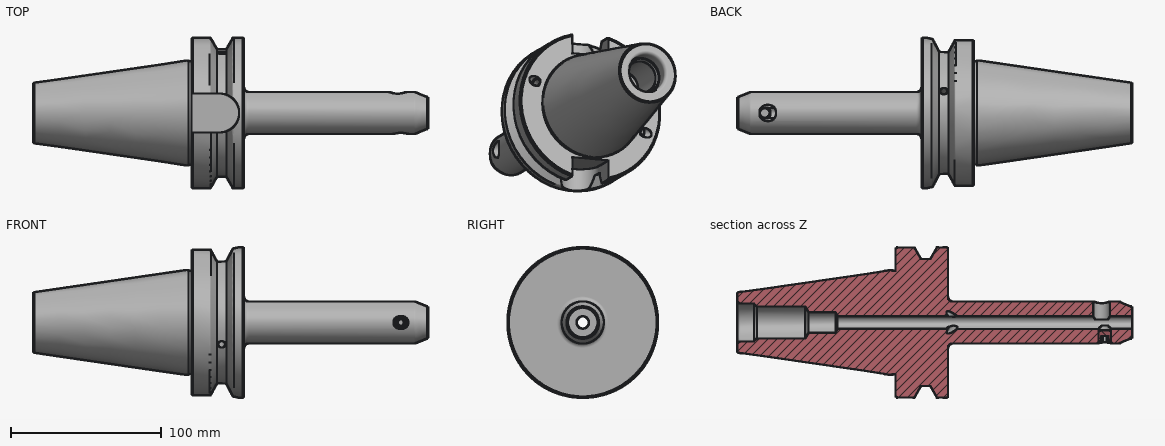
import cadquery as cq
import math


taper_length = 101.8
back_x = -taper_length
gauge_radius = 69.85 / 2
taper_slope = 7 / 24 / 2
taper_back_radius = gauge_radius - taper_slope * taper_length
back_chamfer = 0.7
taper_land_end_x = 1.0
neck_radius = gauge_radius - 0.6

flange_radius = 50.0
flange_back_x = 3.0
flange_front_x = 38.0
flange_chamfer = 1.0

groove_center_x = 23.1
groove_floor_radius = 42.4
groove_floor_half_width = 3.05
groove_wall_angle = 30.0
groove_edge_round = 1.0
groove_depth = flange_radius - groove_floor_radius
groove_top_half_width = groove_floor_half_width + groove_depth * math.tan(math.radians(groove_wall_angle))

slot_half_width = 25.7 / 2
slot_floor_z = 35.4
slot_end_x = 34.7

nose_radius = 14.0
nose_end_x = 160.0
nose_root_fillet = 3.0
nose_cone_start_x = 151.2
nose_cone_end_x = 159.0
nose_cone_end_radius = 10.8
nose_cone_round = 2.0
nose_tip_radius = 9.8

locating_radius = 12.5
mouth_round = 2.3
locating_depth = 11.0
thread_radius = 12.0
thread_core_radius = 10.6
thread_lead_length = 2.0
thread_depth = 45.0
pilot_radius = 6.7
pilot_depth = 65.0
coolant_radius = 4.0
drill_cone_angle = 60.0

channel_start_radius = 41.8
channel_end_radius = coolant_radius / 2
channel_start_angle = 20.0
channel_slope_angle = 45.0
channel_radius = 2.5
channel_thread_radius = 3.0
channel_thread_depth = 2.5
channel_entry_margin = 5.0

cross_drill_radius = 2.3
cross_drill_end_radius = channel_start_radius - (groove_center_x - flange_back_x) * math.tan(
    math.radians(channel_slope_angle)
)

screw_x = 141.8
screw_radius = 4.0
screw_outer_y = -13.0
screw_inner_y = -5.0
screw_socket_width = 4.0
screw_socket_depth = 4.0
screw_end_chamfer = 0.8
screw_hole_floor_y = -2.0
screw_hole_countersink_radius = 5.0

port_x = 139.7
port_radius = 5.5
port_floor_y = 2.0


def round_corner(outline, before, corner, after, radius):
    """Continue the outline with a tangent arc across a corner between two straight stretches."""
    before, corner, after = cq.Vector(*before), cq.Vector(*corner), cq.Vector(*after)
    toward_before = (before - corner).normalized()
    toward_after = (after - corner).normalized()
    half_angle = toward_before.getAngle(toward_after) / 2
    setback = radius / math.tan(half_angle)
    bisector = (toward_before + toward_after).normalized()
    arc_start = corner + toward_before * setback
    arc_middle = corner + bisector * (radius / math.sin(half_angle) - radius)
    arc_end = corner + toward_after * setback
    return outline.lineTo(arc_start.x, arc_start.y).threePointArc(
        (arc_middle.x, arc_middle.y), (arc_end.x, arc_end.y)
    )


def revolve_about_x(outline):
    return outline.close().revolve(360, (0, 0, 0), (1, 0, 0))


def make_outer_form():
    rim_radius = flange_radius - flange_chamfer
    groove_back_edge = (groove_center_x - groove_top_half_width, flange_radius)
    groove_floor_back = (groove_center_x - groove_floor_half_width, groove_floor_radius)
    groove_floor_front = (groove_center_x + groove_floor_half_width, groove_floor_radius)
    groove_front_edge = (groove_center_x + groove_top_half_width, flange_radius)
    rim_back = (flange_back_x + flange_chamfer, flange_radius)
    rim_front = (flange_front_x - flange_chamfer, flange_radius)
    rim_face = (flange_front_x, rim_radius)
    nose_root = (flange_front_x, nose_radius)
    nose_cone_start = (nose_cone_start_x, nose_radius)
    nose_cone_end = (nose_cone_end_x, nose_cone_end_radius)

    outline = (
        cq.Workplane("XZ")
        .moveTo(back_x, 0)
        .lineTo(back_x, taper_back_radius - back_chamfer)
        .lineTo(back_x + back_chamfer, taper_back_radius + taper_slope * back_chamfer)
        .lineTo(0, gauge_radius)
        .lineTo(taper_land_end_x, gauge_radius)
        .lineTo(taper_land_end_x, neck_radius)
        .lineTo(flange_back_x, neck_radius)
        .lineTo(flange_back_x, rim_radius)
        .lineTo(*rim_back)
    )
    outline = round_corner(outline, rim_back, groove_back_edge, groove_floor_back, groove_edge_round)
    outline = outline.lineTo(*groove_floor_back).lineTo(*groove_floor_front)
    outline = round_corner(outline, groove_floor_front, groove_front_edge, rim_front, groove_edge_round)
    outline = outline.lineTo(*rim_front).lineTo(*rim_face)
    outline = round_corner(outline, rim_face, nose_root, nose_cone_start, nose_root_fillet)
    outline = round_corner(outline, nose_root, nose_cone_start, nose_cone_end, nose_cone_round)
    outline = outline.lineTo(*nose_cone_end).lineTo(nose_end_x, nose_tip_radius).lineTo(nose_end_x, 0)
    return revolve_about_x(outline)


def make_axial_bore():
    locating_end = (back_x + locating_depth, locating_radius)
    thread_end_x = back_x + thread_depth
    pilot_end_x = back_x + pilot_depth
    drill_slope = 1 / math.tan(math.radians(drill_cone_angle))

    outline = (
        cq.Workplane("XZ")
        .moveTo(back_x, 0)
        .lineTo(back_x, locating_radius + mouth_round)
        .threePointArc(
            (
                back_x + mouth_round * (1 - math.sqrt(0.5)),
                locating_radius + mouth_round * (1 - math.sqrt(0.5)),
            ),
            (back_x + mouth_round, locating_radius),
        )
        .lineTo(*locating_end)
        .lineTo(locating_end[0], thread_radius)
        .lineTo(locating_end[0] + thread_lead_length, thread_core_radius)
        .lineTo(thread_end_x, thread_core_radius)
        .lineTo(thread_end_x + (thread_core_radius - pilot_radius) * drill_slope, pilot_radius)
        .lineTo(pilot_end_x, pilot_radius)
        .lineTo(pilot_end_x + (pilot_radius - coolant_radius) * drill_slope, coolant_radius)
        .lineTo(nose_end_x, coolant_radius)
        .lineTo(nose_end_x, 0)
    )
    return revolve_about_x(outline)


def make_key_slots():
    round_center_x = slot_end_x - slot_half_width
    slot = (
        cq.Workplane("XY", origin=(0, 0, slot_floor_z))
        .moveTo(0, -slot_half_width)
        .lineTo(round_center_x, -slot_half_width)
        .threePointArc((slot_end_x, 0), (round_center_x, slot_half_width))
        .lineTo(0, slot_half_width)
        .close()
        .extrude(flange_radius - slot_floor_z)
    )
    return slot.union(slot.mirror("XY"))


def make_coolant_drillings():
    """One sloping channel and its cross drilling on the +Y side, repeated opposite."""
    slope = math.radians(channel_slope_angle)
    direction = cq.Vector(math.cos(slope), -math.sin(slope), 0)
    entry = cq.Vector(flange_back_x, channel_start_radius, 0)
    start = entry - direction * channel_entry_margin
    channel_length = channel_entry_margin + (channel_start_radius - channel_end_radius) / math.sin(slope)
    channel = cq.Solid.makeCylinder(channel_radius, channel_length, start, direction)
    threaded_entry = cq.Solid.makeCylinder(
        channel_thread_radius, channel_entry_margin + channel_thread_depth, start, direction
    )
    cross_drilling = cq.Solid.makeCylinder(
        cross_drill_radius,
        flange_radius - cross_drill_end_radius,
        cq.Vector(groove_center_x, cross_drill_end_radius, 0),
        cq.Vector(0, 1, 0),
    )
    drilling = cq.Workplane(channel).union(cq.Workplane(threaded_entry)).union(cq.Workplane(cross_drilling))
    drilling = drilling.rotate((0, 0, 0), (1, 0, 0), channel_start_angle)
    return drilling.union(drilling.rotate((0, 0, 0), (1, 0, 0), 180))


def make_screw_hole():
    """Countersunk radial hole from the -Y side of the nose into the coolant bore."""
    countersink = cq.Solid.makeCone(
        screw_hole_countersink_radius,
        screw_radius,
        screw_hole_countersink_radius - screw_radius,
        cq.Vector(screw_x, -nose_radius, 0),
        cq.Vector(0, 1, 0),
    )
    return (
        cq.Workplane("XZ", origin=(screw_x, screw_hole_floor_y, 0))
        .circle(screw_radius)
        .extrude(nose_radius + screw_hole_floor_y)
        .union(cq.Workplane(countersink))
    )


def make_side_port():
    """Radial hole from the +Y side of the nose into the coolant bore."""
    return (
        cq.Workplane("XZ", origin=(port_x, port_floor_y, 0))
        .circle(port_radius)
        .extrude(port_floor_y - nose_radius)
    )


def make_screw():
    across_corners = screw_socket_width / math.cos(math.radians(30))
    return (
        cq.Workplane("XZ", origin=(screw_x, screw_inner_y, 0))
        .circle(screw_radius)
        .extrude(screw_inner_y - screw_outer_y)
        .faces("<Y or >Y")
        .chamfer(screw_end_chamfer)
        .faces("<Y")
        .workplane()
        .polygon(6, across_corners)
        .cutBlind(-screw_socket_depth)
    )


holder = (
    make_outer_form()
    .cut(make_axial_bore())
    .cut(make_key_slots())
    .cut(make_coolant_drillings())
    .cut(make_screw_hole())
    .cut(make_side_port())
)
screw = make_screw()

result = cq.Compound.makeCompound([holder.solids().val(), screw.solids().val()])